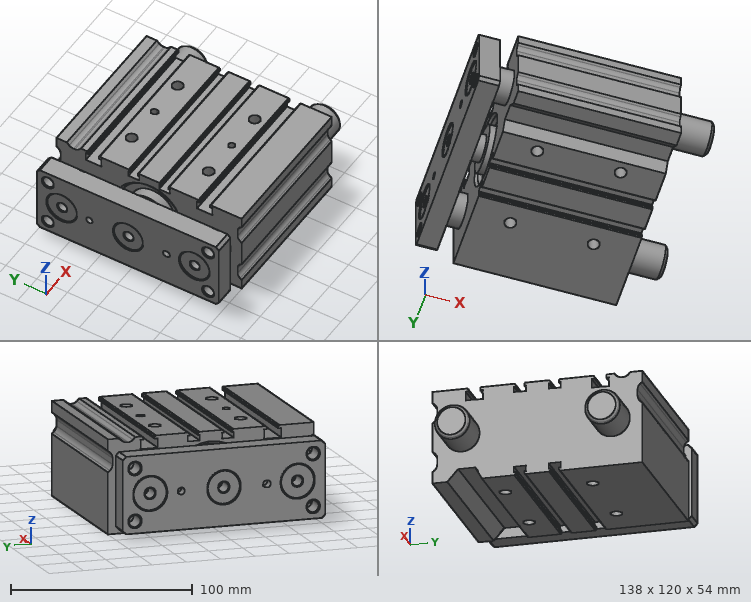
import cadquery as cq
import math

overall_length = 138.0
housing_width = 120.0
housing_height = 54.0
housing_start = 22.1
housing_end = 116.0

plate_thickness = 12.0
plate_width = 118.0
plate_height = 44.0
plate_corner_chamfer = 2.0

guide_diameter = 20.0
guide_spacing = 86.0
guide_tip_length = 2.0
guide_shoulder_diameter = 18.5
guide_tip_diameter = 16.1
guide_offsets = (guide_spacing / 2, -guide_spacing / 2)

rod_end_chamfer = 0.5
rod_end_inset = 0.5

piston_rod_diameter = 16.0
piston_head_diameter = 19.6
piston_head_length = plate_thickness / 2
piston_rod_depth = 11.0

collar_start = 20.0
collar_diameter = 28.0
collar_recess_diameter = 39.2
collar_recess_depth = 4.1
collar_recess_chamfer = 1.5
collar_seat_depth = 2.8

socket_mouth_diameter = 6.8
socket_diameter = 5.8
socket_depth = 11.0
socket_point_angle = 118.0

corner_hole_spacing_y = 103.9
corner_hole_spacing_z = 30.0
corner_hole_diameter = 6.8
corner_hole_chamfer = 0.62
plate_dowel_spacing = 50.0
plate_dowel_depth = 6.0

mount_hole_diameter = 6.6
mount_hole_stations = (44.0, 92.0)
mount_row_offset = 25.0
dowel_station = 68.0
dowel_diameter = 4.0
dowel_depth = 6.0
dowel_slot_stretch = 0.5

outer_slot_center = 36.0
outer_slot_opening = 6.6
outer_slot_width = 10.0
outer_slot_depth = 7.0
inner_slot_center = 10.0
inner_slot_opening = 5.0
inner_slot_width = 6.9
inner_slot_depth = 5.0
slot_lip = 1.8
slot_edge_chamfer = 0.7

side_groove_center = 14.4
side_groove_width = 12.1
side_groove_floor = 3.6
side_groove_flank = 1.0
side_groove_angle = 50.0

top_groove_center = 48.7
top_groove_width = 9.2
top_groove_floor = 0.8
top_groove_flank = 1.4
top_groove_angle = 45.0

bottom_channel_mouth = (-31.7, -51.5)
bottom_channel_floor = (-35.5, -45.3)
bottom_channel_depth = 6.9

housing_length = housing_end - housing_start
collar_end = housing_start + collar_recess_depth + collar_seat_depth
half_width = housing_width / 2
half_height = housing_height / 2


def rod_along_x(diameter, start, end, y=0.0):
    """Round bar parallel to X between two stations."""
    return cq.Workplane("YZ", origin=(start, y, 0)).circle(diameter / 2).extrude(end - start)


def cone_along_x(start_diameter, end_diameter, start, length, y=0.0, z=0.0):
    """Cone or frustum parallel to X."""
    axis = cq.Vector(1, 0, 0)
    center = cq.Vector(start, y, z)
    cone = cq.Solid.makeCone(start_diameter / 2, end_diameter / 2, length, center, axis)
    return cq.Workplane(cone)


def end_socket(y):
    """Blind socket in a rod end: chamfered mouth, straight bore and drill point."""
    mouth_depth = (socket_mouth_diameter - socket_diameter) / 2
    point_length = socket_diameter / 2 / math.tan(math.radians(socket_point_angle / 2))
    point_start = rod_end_inset + socket_depth
    mouth = cone_along_x(socket_mouth_diameter, socket_diameter, rod_end_inset, mouth_depth, y)
    bore = rod_along_x(socket_diameter, rod_end_inset, point_start, y)
    point = cone_along_x(socket_diameter, 0, point_start, point_length, y)
    return bore.union(mouth).union(point)


def run_along_housing(outline):
    """Sweep a closed outline over the full length of the housing."""
    return outline.extrude(housing_length)


def face_plane(center, face):
    """Sketch plane on a housing face: local y points out of the body, the extrusion runs along +X."""
    origins = {
        "top": (housing_start, center, half_height),
        "bottom": (housing_start, center, -half_height),
        "left": (housing_start, half_width, center),
        "right": (housing_start, -half_width, center),
    }
    across = {"top": (0, 1, 0), "bottom": (0, -1, 0), "left": (0, 0, -1), "right": (0, 0, 1)}
    return cq.Plane(origin=origins[face], xDir=across[face], normal=(1, 0, 0))


def t_slot(center, face, opening, width, depth):
    """T-slot with a small chamfer on both edges of its mouth."""
    mouth = opening / 2
    wall = width / 2
    outline = (
        cq.Workplane(face_plane(center, face))
        .moveTo(-mouth - slot_edge_chamfer, 0)
        .lineTo(-mouth, -slot_edge_chamfer)
        .lineTo(-mouth, -slot_lip)
        .lineTo(-wall, -slot_lip)
        .lineTo(-wall, -depth)
        .lineTo(wall, -depth)
        .lineTo(wall, -slot_lip)
        .lineTo(mouth, -slot_lip)
        .lineTo(mouth, -slot_edge_chamfer)
        .lineTo(mouth + slot_edge_chamfer, 0)
        .close()
    )
    return run_along_housing(outline)


def rounded_groove(center, face, width, floor, flank, angle):
    """Open groove: sloping flanks, arcs tangent to them, and a narrow flat floor."""
    slope = math.radians(angle)
    mouth = width / 2
    arc_top = mouth - flank
    arc_bottom = floor / 2
    radius = (arc_top - arc_bottom) / math.sin(slope)
    flank_depth = flank * math.tan(slope)
    depth = flank_depth + radius * (1 - math.cos(slope))
    mid_x = arc_bottom + radius * math.sin(slope / 2)
    mid_depth = depth - radius * (1 - math.cos(slope / 2))
    outline = (
        cq.Workplane(face_plane(center, face))
        .moveTo(-mouth, 0)
        .lineTo(-arc_top, -flank_depth)
        .threePointArc((-mid_x, -mid_depth), (-arc_bottom, -depth))
        .lineTo(arc_bottom, -depth)
        .threePointArc((mid_x, -mid_depth), (arc_top, -flank_depth))
        .lineTo(mouth, 0)
        .close()
    )
    return run_along_housing(outline)


def bottom_channel():
    """Channel under one guide rod with two unequal flanks."""
    floor_z = -half_height + bottom_channel_depth
    outline = cq.Workplane("YZ", origin=(housing_start, 0, 0)).polyline(
        [
            (bottom_channel_mouth[0], -half_height),
            (bottom_channel_floor[0], floor_z),
            (bottom_channel_floor[1], floor_z),
            (bottom_channel_mouth[1], -half_height),
        ]
    ).close()
    return run_along_housing(outline)


def mount_holes():
    points = [(x, y) for x in mount_hole_stations for y in (mount_row_offset, -mount_row_offset)]
    return (
        cq.Workplane("XY", origin=(0, 0, -half_height))
        .pushPoints(points)
        .circle(mount_hole_diameter / 2)
        .extrude(housing_height)
    )


def housing_dowel_holes():
    """A round dowel hole in one row and a slightly stretched one in the other."""
    top = cq.Workplane("XY", origin=(dowel_station, 0, half_height))
    round_hole = top.center(0, -mount_row_offset).circle(dowel_diameter / 2).extrude(-dowel_depth)
    slot = (
        top.center(0, mount_row_offset)
        .slot2D(dowel_diameter + dowel_slot_stretch, dowel_diameter, 90)
        .extrude(-dowel_depth)
    )
    return round_hole.union(slot)


def collar_recess():
    """Counterbore around the collar with a chamfered rim; it leaves an open ring outside the collar."""
    bore = rod_along_x(collar_recess_diameter, housing_start, housing_start + collar_recess_depth)
    rim_diameter = collar_recess_diameter + 2 * collar_recess_chamfer
    rim = cone_along_x(rim_diameter, collar_recess_diameter, housing_start, collar_recess_chamfer)
    return bore.union(rim)


def make_housing():
    body = cq.Workplane("YZ", origin=(housing_start, 0, 0)).rect(housing_width, housing_height)
    body = body.extrude(housing_length)
    for side in (1, -1):
        body = body.cut(
            t_slot(side * outer_slot_center, "top", outer_slot_opening, outer_slot_width, outer_slot_depth)
        )
        for face in ("top", "bottom"):
            body = body.cut(
                t_slot(side * inner_slot_center, face, inner_slot_opening, inner_slot_width, inner_slot_depth)
            )
    for center, face in (
        (side_groove_center, "left"),
        (side_groove_center, "right"),
        (-side_groove_center, "right"),
    ):
        body = body.cut(
            rounded_groove(
                center, face, side_groove_width, side_groove_floor, side_groove_flank, side_groove_angle
            )
        )
    body = body.cut(
        rounded_groove(
            top_groove_center, "top", top_groove_width, top_groove_floor, top_groove_flank, top_groove_angle
        )
    )
    body = body.cut(bottom_channel())
    body = body.cut(mount_holes())
    body = body.cut(housing_dowel_holes())
    for y in guide_offsets:
        body = body.cut(rod_along_x(guide_diameter, housing_start, housing_end, y))
    body = body.cut(collar_recess())
    body = body.cut(rod_along_x(collar_diameter, housing_start, collar_end))
    body = body.cut(rod_along_x(piston_rod_diameter, housing_start, housing_start + piston_rod_depth))
    return body


def corner_hole(y, z):
    """Through hole with a chamfered mouth on the outer face."""
    hole = cq.Workplane("YZ", origin=(0, y, z)).circle(corner_hole_diameter / 2).extrude(plate_thickness)
    mouth_diameter = corner_hole_diameter + 2 * corner_hole_chamfer
    return hole.union(cone_along_x(mouth_diameter, corner_hole_diameter, 0, corner_hole_chamfer, y, z))


def plate_dowel_holes():
    """A round dowel hole and a slightly stretched one, both blind."""
    face = cq.Workplane("YZ")
    round_hole = face.center(plate_dowel_spacing / 2, 0).circle(dowel_diameter / 2).extrude(plate_dowel_depth)
    slot = (
        face.center(-plate_dowel_spacing / 2, 0)
        .slot2D(dowel_diameter + dowel_slot_stretch, dowel_diameter)
        .extrude(plate_dowel_depth)
    )
    return round_hole.union(slot)


def make_plate():
    body = cq.Workplane("YZ").rect(plate_width, plate_height).extrude(plate_thickness)
    body = body.edges("|X").chamfer(plate_corner_chamfer)
    for y in (corner_hole_spacing_y / 2, -corner_hole_spacing_y / 2):
        for z in (corner_hole_spacing_z / 2, -corner_hole_spacing_z / 2):
            body = body.cut(corner_hole(y, z))
    for y in guide_offsets:
        body = body.cut(rod_along_x(guide_diameter, 0, plate_thickness, y))
    body = body.cut(rod_along_x(piston_head_diameter, 0, piston_head_length))
    body = body.cut(rod_along_x(piston_rod_diameter, 0, plate_thickness))
    return body.cut(plate_dowel_holes())


def make_guide_rod(y):
    """Guide rod from just below the outer face of the plate to a tip tapered in two steps."""
    tip_start = overall_length - guide_tip_length
    step = guide_tip_length / 2
    rod = rod_along_x(guide_diameter, rod_end_inset, tip_start, y)
    rod = rod.faces("<X").edges().chamfer(rod_end_chamfer)
    rod = rod.union(cone_along_x(guide_diameter, guide_shoulder_diameter, tip_start, step, y))
    rod = rod.union(cone_along_x(guide_shoulder_diameter, guide_tip_diameter, tip_start + step, step, y))
    return rod.cut(end_socket(y))


def make_piston_rod():
    """Piston rod with a wider head sunk just below the outer face of the plate."""
    rod = rod_along_x(piston_rod_diameter, rod_end_inset, housing_start + piston_rod_depth)
    head = rod_along_x(piston_head_diameter, rod_end_inset, piston_head_length)
    head = head.faces("<X").edges().chamfer(rod_end_chamfer)
    return rod.union(head).cut(end_socket(0))


def make_collar():
    """Ring around the piston rod, set into the housing face."""
    ring = rod_along_x(collar_diameter, collar_start, collar_end)
    return ring.cut(rod_along_x(piston_rod_diameter, collar_start, collar_end))


housing = make_housing()
plate = make_plate()
guide_rods = [make_guide_rod(y) for y in guide_offsets]
piston_rod = make_piston_rod()
collar = make_collar()

result = cq.Compound.makeCompound(
    [housing.val(), plate.val(), *[rod.val() for rod in guide_rods], piston_rod.val(), collar.val()]
)